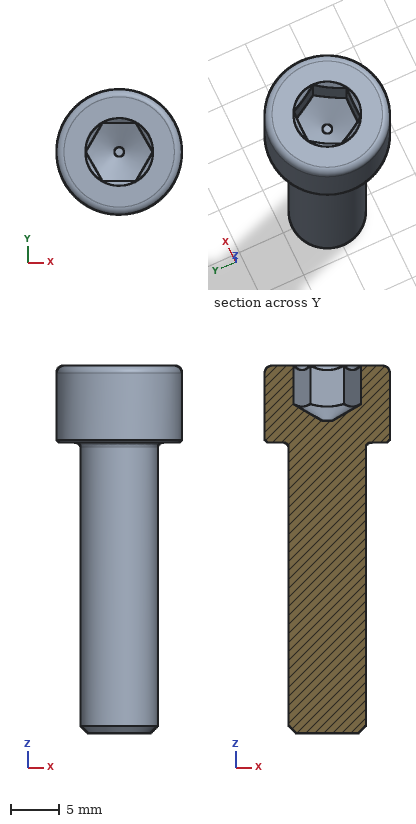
import cadquery as cq
import math

total_length = 38.0
head_diameter = 13.0
head_height = 7.98
shank_diameter = 8.0

head_top_fillet = 0.8
head_bottom_chamfer = 0.3
neck_flare_width = 0.6
neck_flare_height = 0.4
tip_chamfer = 0.8

hex_across_flats = 6.0
hex_depth = 4.0
hex_corner_diameter = hex_across_flats / math.cos(math.pi / 6)
socket_mouth_diameter = 7.0
socket_mouth_angle = math.radians(45)
socket_floor_diameter = 1.0
socket_floor_angle = math.radians(30)

head_radius = head_diameter / 2
shank_radius = shank_diameter / 2
head_bottom = total_length - head_height


def cone_frustum(bottom_z, bottom_radius, top_z, top_radius):
    """Solid of revolution about Z with a straight sloping side."""
    return (
        cq.Workplane("XZ")
        .moveTo(0, bottom_z)
        .lineTo(bottom_radius, bottom_z)
        .lineTo(top_radius, top_z)
        .lineTo(0, top_z)
        .close()
        .revolve(360, (0, 0, 0), (0, 1, 0))
    )


def neck_flare_point(angle):
    """Point on the concave flare, rising from the shank (0) to the head (pi / 2)."""
    return (
        shank_radius + neck_flare_width * (1 - math.cos(angle)),
        head_bottom - neck_flare_height * (1 - math.sin(angle)),
    )


def make_body():
    """Head and shank, joined by a quarter-ellipse flare at the neck."""
    return (
        cq.Workplane("XZ")
        .lineTo(shank_radius - tip_chamfer, 0)
        .lineTo(shank_radius, tip_chamfer)
        .lineTo(shank_radius, head_bottom - neck_flare_height)
        .parametricCurve(neck_flare_point, N=20, start=0, stop=math.pi / 2, makeWire=False)
        .lineTo(head_radius - head_bottom_chamfer, head_bottom)
        .lineTo(head_radius, head_bottom + head_bottom_chamfer)
        .lineTo(head_radius, total_length)
        .lineTo(0, total_length)
        .close()
        .revolve(360, (0, 0, 0), (0, 1, 0))
        .faces(">Z")
        .edges()
        .fillet(head_top_fillet)
    )


def make_socket():
    """Hexagon with corners on X, a conical floor and a countersunk mouth."""
    floor_radius = socket_floor_diameter / 2
    flat_radius = hex_across_flats / 2
    corner_radius = hex_corner_diameter / 2
    floor_drop = (corner_radius - floor_radius) * math.tan(socket_floor_angle)
    cone_top = total_length - hex_depth
    cone_bottom = cone_top - floor_drop

    hexagon = (
        cq.Workplane("XY", origin=(0, 0, cone_bottom))
        .polygon(6, hex_corner_diameter)
        .extrude(total_length - cone_bottom)
    )
    floor_cone = cone_frustum(cone_bottom, floor_radius, cone_top, corner_radius)
    bore = cq.Workplane("XY", origin=(0, 0, cone_top)).circle(head_radius).extrude(hex_depth)
    hexagon = hexagon.intersect(floor_cone.union(bore))

    mouth_radius = socket_mouth_diameter / 2
    mouth_depth = (mouth_radius - flat_radius) * math.tan(socket_mouth_angle)
    mouth = cone_frustum(total_length - mouth_depth, flat_radius, total_length, mouth_radius)
    return hexagon.union(mouth)


result = make_body().cut(make_socket())